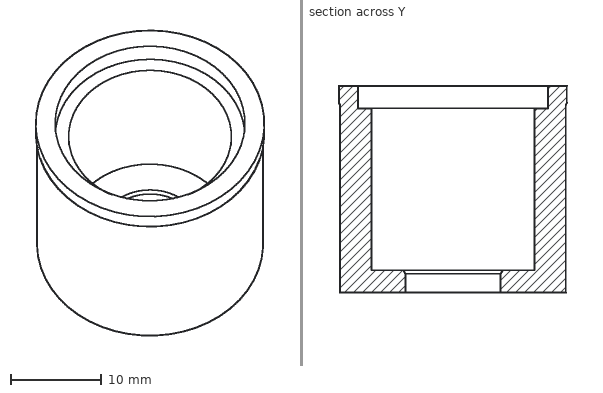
import cadquery as cq

height = 22.9
collar_diameter = 25.3
body_diameter = 25.05
collar_height = 1.9
taper_height = 0.2

recess_diameter = 21.0
recess_depth = 2.5
bore_diameter = 18.01
floor_thickness = 2.5
hole_diameter = 10.5
bevel_width = 0.25
bevel_depth = 0.43

collar_radius = collar_diameter / 2
body_radius = body_diameter / 2
recess_radius = recess_diameter / 2
bore_radius = bore_diameter / 2
hole_radius = hole_diameter / 2
collar_bottom = height - collar_height
recess_floor = height - recess_depth

section = (
    cq.Workplane("XZ")
    .moveTo(hole_radius, 0)
    .lineTo(body_radius, 0)
    .lineTo(body_radius, collar_bottom - taper_height)
    .lineTo(collar_radius, collar_bottom)
    .lineTo(collar_radius, height)
    .lineTo(recess_radius, height)
    .lineTo(recess_radius, recess_floor)
    .lineTo(bore_radius, recess_floor)
    .lineTo(bore_radius, floor_thickness)
    .lineTo(hole_radius + bevel_width, floor_thickness)
    .lineTo(hole_radius, floor_thickness - bevel_depth)
    .close()
)

result = section.revolve(360, (0, 0, 0), (0, 1, 0))